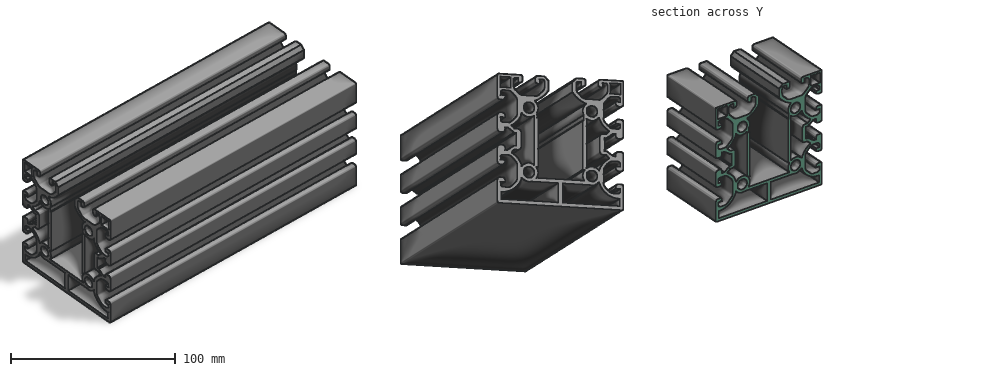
import cadquery as cq
import math

LENGTH = 200.0
SIDE = 80.0
HALF = SIDE / 2
OUTER_RADIUS = 1.0

AXIS = HALF / 2
BORE_DIAMETER = 6.8
BOSS_RADIUS = 5.8

SLOT_HALF_OPENING = 4.0
LIP_DEPTH = 4.8
LIP_WIDTH = 2.8
LIP_RADIUS = 1.5
LIP_ROOT_DEPTH = 2.0
CAVITY_HALF_WIDTH = 10.0
CAVITY_ROOT_RADIUS = 1.8
CAVITY_DEPTH = 12.5
CAVITY_CHAMFER = 4.5
CHAMFER_ANGLE = math.radians(45)
CHAMFER_BLEND_RADIUS = 4.0

SHELL_DEPTH = 15.5
SHELL_END_HALF_WIDTH = 3.8
SHELL_HALF_WIDTH = 13.0
SHELL_ARC_DEPTH = 3.0
SHELL_RADIUS = 13.0
HOOK_WALL = 2.5
HOOK_HALF_WIDTH = CAVITY_HALF_WIDTH + HOOK_WALL
HOOK_ARC_DEPTH = 8.8
HOOK_RADIUS = 16.5
HOOK_CHAMFER = 2.5

GROOVE_HALF_OPENING = 4.0
GROOVE_HALF_WIDTH = 7.0
GROOVE_TAPER_START = 6.5
GROOVE_TAPER_END = 10.5
GROOVE_DEPTH = 12.0
GROOVE_SHELL_DEPTH = 15.0
GROOVE_SHELL_HALF_WIDTH = 6.5
GROOVE_SHELL_RADIUS = 2.0
GROOVE_SHELL_TAPER_END = 11.0

BOX_WALL = 1.8
BOX_SIZE = 6.5

CHANNEL_HALF_WIDTH = 14.2
CHANNEL_WALL = 2.5
CHANNEL_FLOOR = 16.8
FLOOR_WALL = 2.5
RELIEF_DEPTH = 0.5
RELIEF_BOTTOM = 14.2
BOSS_NOTCH_HEIGHT = 3.5
BASE_WALL = 2.5
WEB_THICKNESS = 3.0


def extrude(outline):
    """Extrude a closed XZ outline over the full length, centred on Y."""
    return outline.extrude(LENGTH / 2, both=True)


def block(x_min, x_max, z_min, z_max):
    """Full-length bar between the given X and Z limits."""
    centre = ((x_min + x_max) / 2, (z_min + z_max) / 2)
    return extrude(cq.Workplane("XZ").center(*centre).rect(x_max - x_min, z_max - z_min))


def cylinder(x, z, radius):
    return extrude(cq.Workplane("XZ").center(x, z).circle(radius))


def symmetric(half_outline):
    """Close a half outline along Z = 0, extrude it and add its mirror image below."""
    half = extrude(half_outline.close())
    return half.union(half.mirror("XY"))


def mouth_outline(half_opening):
    """Start of a half outline: the face at X = 0 and a lip with two rounded edges."""
    lip_edge = half_opening + LIP_RADIUS
    return (
        cq.Workplane("XZ")
        .lineTo(0, lip_edge)
        .radiusArc((LIP_RADIUS, half_opening), -LIP_RADIUS)
        .lineTo(LIP_DEPTH - LIP_RADIUS, half_opening)
        .radiusArc((LIP_DEPTH, lip_edge), -LIP_RADIUS)
    )


def slot_void():
    """T-slot void: mouth at X = 0, depth along +X, slot axis at Z = 0."""
    lip_back = SLOT_HALF_OPENING + LIP_WIDTH
    blend = CHAMFER_BLEND_RADIUS * math.tan(CHAMFER_ANGLE / 2)
    blend_on_chamfer = blend * math.sin(CHAMFER_ANGLE)
    chamfer_depth = CAVITY_DEPTH - CAVITY_CHAMFER
    chamfer_width = CAVITY_HALF_WIDTH - CAVITY_CHAMFER
    wall_tangent = (chamfer_depth + blend_on_chamfer, CAVITY_HALF_WIDTH - blend_on_chamfer)
    floor_tangent = (CAVITY_DEPTH - blend_on_chamfer, chamfer_width + blend_on_chamfer)
    return symmetric(
        mouth_outline(SLOT_HALF_OPENING)
        .lineTo(LIP_DEPTH, lip_back)
        .lineTo(LIP_ROOT_DEPTH, lip_back)
        .lineTo(LIP_ROOT_DEPTH, CAVITY_HALF_WIDTH - CAVITY_ROOT_RADIUS)
        .radiusArc((LIP_ROOT_DEPTH + CAVITY_ROOT_RADIUS, CAVITY_HALF_WIDTH), CAVITY_ROOT_RADIUS)
        .lineTo(chamfer_depth - blend, CAVITY_HALF_WIDTH)
        .radiusArc(wall_tangent, CHAMFER_BLEND_RADIUS)
        .lineTo(*floor_tangent)
        .radiusArc((CAVITY_DEPTH, chamfer_width - blend), CHAMFER_BLEND_RADIUS)
        .lineTo(CAVITY_DEPTH, 0)
    )


def slot_shell(half_width, arc_depth, radius):
    """Envelope of a T-slot including its wall, placed like slot_void."""
    return symmetric(
        cq.Workplane("XZ")
        .lineTo(0, half_width)
        .lineTo(arc_depth, half_width)
        .radiusArc((SHELL_DEPTH, SHELL_END_HALF_WIDTH), radius)
        .lineTo(SHELL_DEPTH, 0)
    )


def on_left_side(shape, z):
    return shape.translate((-HALF, 0, z))


def on_top(shape):
    """Turn a slot shape so that it opens upwards in the left half of the top face."""
    return shape.rotate((0, 0, 0), (0, 1, 0), 90).translate((-AXIS, 0, HALF))


def groove_void():
    """Plain side groove that tapers towards its floor."""
    void = symmetric(
        mouth_outline(GROOVE_HALF_OPENING)
        .lineTo(LIP_DEPTH, GROOVE_HALF_WIDTH)
        .lineTo(GROOVE_TAPER_START, GROOVE_HALF_WIDTH)
        .lineTo(GROOVE_TAPER_END, GROOVE_HALF_OPENING)
        .lineTo(GROOVE_DEPTH, GROOVE_HALF_OPENING)
        .lineTo(GROOVE_DEPTH, 0)
    )
    return on_left_side(void, 0)


def groove_shell():
    """Envelope of the side groove including its wall."""
    body = block(0, GROOVE_SHELL_DEPTH, -GROOVE_SHELL_HALF_WIDTH, GROOVE_SHELL_HALF_WIDTH)
    body = body.edges("|Y and >X").fillet(GROOVE_SHELL_RADIUS)
    flare = GROOVE_SHELL_HALF_WIDTH + GROOVE_SHELL_TAPER_END
    taper_points = [
        (0, -flare),
        (GROOVE_SHELL_TAPER_END, -GROOVE_SHELL_HALF_WIDTH),
        (GROOVE_SHELL_TAPER_END, GROOVE_SHELL_HALF_WIDTH),
        (0, flare),
    ]
    taper = extrude(cq.Workplane("XZ").polyline(taper_points).close())
    return on_left_side(body.union(taper), 0)


def bosses():
    return cylinder(-AXIS, AXIS, BOSS_RADIUS).union(cylinder(-AXIS, -AXIS, BOSS_RADIUS))


def side_shells():
    shell = slot_shell(SHELL_HALF_WIDTH, SHELL_ARC_DEPTH, SHELL_RADIUS)
    return on_left_side(shell, AXIS).union(on_left_side(shell, -AXIS))


def side_chamber():
    """Hollow between the two side T-slots, the side groove and the channel wall."""
    x_max = -CHANNEL_HALF_WIDTH - CHANNEL_WALL
    space = block(-HALF + LIP_DEPTH, x_max, -AXIS, AXIS)
    return space.cut(side_shells()).cut(groove_shell()).cut(bosses())


def base_chamber():
    """Hollow below the channel floor, reaching up between slot wall and boss."""
    x_min = -HALF + BASE_WALL
    ceiling = -HALF + CHANNEL_FLOOR - FLOOR_WALL
    space = block(x_min, -WEB_THICKNESS / 2, -HALF + BASE_WALL, ceiling)
    space = space.union(block(x_min, -AXIS, ceiling, -AXIS))
    return space.cut(side_shells()).cut(bosses())


def channel():
    """Left half of the central channel, open at the top."""
    floor = -HALF + CHANNEL_FLOOR
    inside_boss = -AXIS + BOSS_RADIUS / 2
    space = block(-CHANNEL_HALF_WIDTH, 0, floor, HALF)
    space = space.union(block(-CHANNEL_HALF_WIDTH - RELIEF_DEPTH, 0, RELIEF_BOTTOM, HALF))
    space = space.union(block(inside_boss, 0, AXIS, HALF))
    space = space.union(block(inside_boss, 0, floor, -AXIS + BOSS_NOTCH_HEIGHT))
    hook = on_top(slot_shell(HOOK_HALF_WIDTH, HOOK_ARC_DEPTH, HOOK_RADIUS))
    hook = hook.edges("|Y and >X and >Z").chamfer(HOOK_CHAMFER)
    return space.cut(hook).cut(bosses())


def corner_box():
    x_min = -HALF + BOX_WALL
    z_max = HALF - BOX_WALL
    return block(x_min, x_min + BOX_SIZE, z_max - BOX_SIZE, z_max)


voids = [
    on_left_side(slot_void(), AXIS),
    on_left_side(slot_void(), -AXIS),
    on_top(slot_void()),
    groove_void(),
    side_chamber(),
    base_chamber(),
    channel(),
    corner_box(),
    cylinder(-AXIS, AXIS, BORE_DIAMETER / 2),
    cylinder(-AXIS, -AXIS, BORE_DIAMETER / 2),
]

result = block(-HALF, HALF, -HALF, HALF).edges("|Y").fillet(OUTER_RADIUS)
for void in voids:
    result = result.cut(void).cut(void.mirror("YZ"))